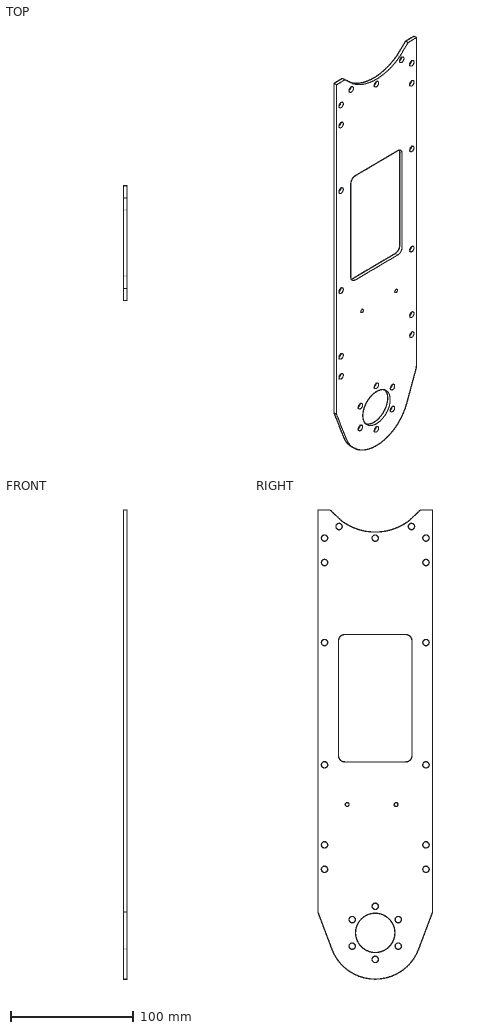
import cadquery as cq
import math

thickness = 3.0
width = 94.0
height = 384.02
half_width = width / 2

end_radius = 38.0
shoulder_z = 17.0
top_z = height - end_radius

notch_radius = 46.0
notch_bottom_z = 328.0
notch_arc_half_width = 27.0
notch_mouth_half_width = 37.0
notch_center_z = notch_bottom_z + notch_radius

bore_diameter = 32.0
bolt_circle_radius = 21.75
bolt_count = 6
screw_diameter = 5.0

notch_screw_inset = 5.0
notch_screw_radius = notch_radius + notch_screw_inset
notch_screw_angle = 35.5

edge_screw_y = 41.5
edge_screw_mid_z = 187.5
edge_screw_offsets = (50.0, 115.5, 135.5)

window_width = 60.0
window_height = 104.0
window_center_z = 192.0
window_corner_radius = 5.0

pilot_diameter = 3.0
pilot_spacing = 40.0
pilot_mid_y = -3.0
pilot_z = 105.0


def tangent_point():
    """Point where the right-hand taper meets the rounded end tangentially."""
    shoulder_distance = math.hypot(half_width, shoulder_z)
    shoulder_angle = math.atan2(shoulder_z, half_width)
    angle = shoulder_angle - math.acos(end_radius / shoulder_distance)
    return end_radius * math.cos(angle), end_radius * math.sin(angle)


def make_plate():
    tangent_y, tangent_z = tangent_point()
    notch_arc_z = notch_center_z - math.sqrt(notch_radius**2 - notch_arc_half_width**2)
    return (
        cq.Workplane("YZ")
        .moveTo(tangent_y, tangent_z)
        .lineTo(half_width, shoulder_z)
        .lineTo(half_width, top_z)
        .lineTo(notch_mouth_half_width, top_z)
        .lineTo(notch_arc_half_width, notch_arc_z)
        .threePointArc((0, notch_bottom_z), (-notch_arc_half_width, notch_arc_z))
        .lineTo(-notch_mouth_half_width, top_z)
        .lineTo(-half_width, top_z)
        .lineTo(-half_width, shoulder_z)
        .lineTo(-tangent_y, tangent_z)
        .threePointArc((0, -end_radius), (tangent_y, tangent_z))
        .close()
        .extrude(thickness)
    )


def make_holes(points, diameter):
    return cq.Workplane("YZ").pushPoints(points).circle(diameter / 2).extrude(thickness)


def make_window():
    return (
        cq.Workplane("YZ")
        .center(0, window_center_z)
        .rect(window_width, window_height)
        .extrude(thickness)
        .edges("|X")
        .fillet(window_corner_radius)
    )


def bolt_circle_points():
    points = []
    for index in range(bolt_count):
        angle = math.pi / 2 + index * 2 * math.pi / bolt_count
        points.append((bolt_circle_radius * math.cos(angle), bolt_circle_radius * math.sin(angle)))
    return points


def notch_screw_points():
    points = []
    for degrees in (-notch_screw_angle, 0, notch_screw_angle):
        angle = math.radians(degrees)
        y = notch_screw_radius * math.sin(angle)
        z = notch_center_z - notch_screw_radius * math.cos(angle)
        points.append((y, z))
    return points


def edge_screw_points():
    points = []
    for offset in edge_screw_offsets:
        for y in (-edge_screw_y, edge_screw_y):
            points.append((y, edge_screw_mid_z - offset))
            points.append((y, edge_screw_mid_z + offset))
    return points


screw_points = bolt_circle_points() + notch_screw_points() + edge_screw_points()
pilot_points = [(pilot_mid_y + side * pilot_spacing / 2, pilot_z) for side in (-1, 1)]

result = (
    make_plate()
    .cut(make_window())
    .cut(make_holes([(0, 0)], bore_diameter))
    .cut(make_holes(screw_points, screw_diameter))
    .cut(make_holes(pilot_points, pilot_diameter))
)